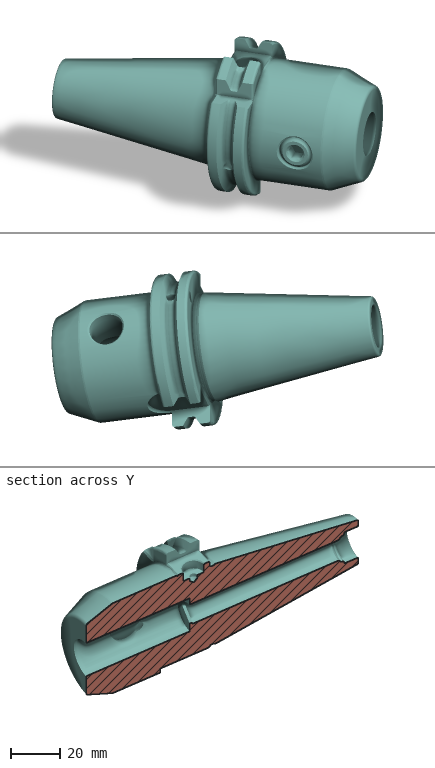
import cadquery as cq
import math


overall_length = 131.4
gauge_x = 69.0
gauge_radius = 22.3
taper_slope = 7 / 48
shank_end_fillet = 0.9
neck_radius = 21.8
neck_start_x = 70.2
neck_fillet = 0.7

flange_start_x = 71.6
flange_end_x = 87.5
flange_diameter = 63.5
flange_radius = flange_diameter / 2
flange_fillet = 1.0
groove_x = 79.5
groove_floor_radius = 28.1
groove_floor_half_width = 1.5
groove_wall_angle = 30.0
groove_floor_fillet = 0.9

keyway_width = 16.2
top_keyway_height = 25.0
bottom_keyway_height = 22.9
notch_distance = 18.5
notch_edge_chamfer = 0.7

pocket_radius = 4.9
pocket_chamfer = 0.4
pocket_depth = 4.6
pilot_radius = 1.7
pilot_depth = 3.3

coolant_hole_radius = 2.1
coolant_cross_radius = 2.0
coolant_pitch_radius = 27.0
coolant_angle = 20.0
coolant_tilt = 30.0

head_radius = 25.1
head_fillet = 0.5
nose_start_x = 118.5
nose_start_fillet = 1.8
nose_end_radius = 19.6
nose_fillet = 1.6

counterbore_radius = 8.5
counterbore_depth = 6.8
counterbore_round = 0.9
thread_radius = 7.0
thread_chamfer = 0.8
thread_end_x = 8.3
channel_radius = 5.5
tool_bore_radius = 9.1
tool_bore_start_x = 81.5
flat_distance = 3.3
flat_length = 1.3
flat_angles = (0.0, 225.0)

screw_x = 107.2
screw_radius = 7.0
screw_face_distance = 24.5
screw_length = 15.8
screw_chamfer = 1.6
screw_hole_chamfer = 0.7
hex_across_flats = 5.9
hex_depth = 6.0
hex_countersink_radius = 4.0

selection_margin = 0.7


def revolve_about_x(profile):
    return profile.close().revolve(360, (0, 0, 0), (1, 0, 0))


def across_x(x):
    """A plane across the axis, with local X along +Y and local Y along +Z."""
    return cq.Workplane(cq.Plane((x, 0, 0), (0, 1, 0), (1, 0, 0)))


def make_shank():
    end_radius = gauge_radius - gauge_x * taper_slope
    profile = (
        cq.Workplane("XZ")
        .lineTo(0, end_radius)
        .lineTo(gauge_x, gauge_radius)
        .lineTo(neck_start_x, neck_radius)
        .lineTo(flange_start_x - neck_fillet, neck_radius)
        .radiusArc((flange_start_x, neck_radius + neck_fillet), -neck_fillet)
        .lineTo(flange_start_x, 0)
    )
    return revolve_about_x(profile).faces("<X").edges().fillet(shank_end_fillet)


def make_flange():
    flange = across_x(flange_start_x).circle(flange_radius).extrude(flange_end_x - flange_start_x)
    flange = flange.edges().fillet(flange_fillet)
    groove_depth = flange_radius - groove_floor_radius
    top_half_width = groove_floor_half_width + groove_depth * math.tan(math.radians(groove_wall_angle))
    groove = revolve_about_x(
        cq.Workplane("XZ")
        .moveTo(groove_x - groove_floor_half_width, groove_floor_radius)
        .lineTo(groove_x + groove_floor_half_width, groove_floor_radius)
        .lineTo(groove_x + top_half_width, flange_radius)
        .lineTo(groove_x - top_half_width, flange_radius)
    )
    floor_edges = cq.selectors.RadiusNthSelector(0)
    return flange.cut(groove.edges(floor_edges).fillet(groove_floor_fillet))


def flange_notch(y_min, y_max, height, rear_chamfer=True):
    """Cutter from a floor at the given Z upwards, chamfering the floor's ends at the flange faces."""
    chamfer_z = height - notch_edge_chamfer
    profile = (
        cq.Workplane("XZ", origin=(0, y_max, 0))
        .moveTo(flange_start_x, flange_radius)
        .lineTo(flange_start_x, chamfer_z)
        .lineTo(flange_start_x + notch_edge_chamfer, height)
    )
    if rear_chamfer:
        profile = profile.lineTo(flange_end_x - notch_edge_chamfer, height).lineTo(flange_end_x, chamfer_z)
    else:
        profile = profile.lineTo(flange_end_x, height)
    return profile.lineTo(flange_end_x, flange_radius).close().extrude(y_max - y_min)


def top_keyway():
    return flange_notch(-keyway_width / 2, keyway_width / 2, top_keyway_height)


def bottom_keyway():
    """Keyway that ends in a half-round wall inside the head."""
    straight = flange_notch(-keyway_width / 2, keyway_width / 2, bottom_keyway_height, rear_chamfer=False)
    round_end = (
        cq.Workplane("XY", origin=(flange_end_x, 0, bottom_keyway_height))
        .circle(keyway_width / 2)
        .extrude(flange_radius - bottom_keyway_height)
    )
    return straight.union(round_end).rotate((0, 0, 0), (1, 0, 0), 180)


def corner_notch():
    """Square notch towards -Y and +Z, with the ends of both its faces chamfered."""
    floor_cut = flange_notch(-flange_radius, -notch_distance, notch_distance)
    wall_cut = flange_notch(notch_distance, flange_radius, notch_distance).rotate((0, 0, 0), (1, 0, 0), 90)
    return floor_cut.union(wall_cut)


def make_head():
    blank = revolve_about_x(
        cq.Workplane("XZ")
        .moveTo(flange_end_x, 0)
        .lineTo(flange_end_x, head_radius + head_fillet)
        .radiusArc((flange_end_x + head_fillet, head_radius), -head_fillet)
        .lineTo(nose_start_x, head_radius)
        .lineTo(overall_length, nose_end_radius)
        .lineTo(overall_length, 0)
    )
    reach = head_radius + selection_margin
    nose_start = cq.selectors.BoxSelector(
        (nose_start_x - selection_margin, -reach, -reach),
        (nose_start_x + selection_margin, reach, reach),
    )
    blank = blank.edges(nose_start).fillet(nose_start_fillet)
    return blank.faces(">X").edges().fillet(nose_fillet)


def keyway_pocket():
    floor_z = top_keyway_height - pocket_depth
    pocket = cq.Workplane("XY", origin=(groove_x, 0, floor_z)).circle(pocket_radius).extrude(pocket_depth)
    mouth = cq.Workplane("XZ").polyline([
        (0, top_keyway_height - pocket_radius - pocket_chamfer),
        (pocket_radius + pocket_chamfer, top_keyway_height),
        (0, top_keyway_height),
    ]).close().revolve(360, (0, 0, 0), (0, 1, 0)).translate((groove_x, 0, 0))
    pilot = cq.Workplane("XZ").polyline([
        (0, floor_z),
        (pilot_radius, floor_z),
        (pilot_radius, floor_z - pilot_depth + pilot_radius),
        (0, floor_z - pilot_depth),
    ]).close().revolve(360, (0, 0, 0), (0, 1, 0)).translate((groove_x, 0, 0))
    return pocket.union(mouth).union(pilot)


def coolant_channel(angle):
    """Tilted hole from the flange face to the tool bore, and a cross hole to it from the groove."""
    tilt = math.radians(coolant_tilt)
    start = cq.Vector(flange_start_x, coolant_pitch_radius, 0)
    direction = cq.Vector(math.cos(tilt), -math.sin(tilt), 0)
    length = (coolant_pitch_radius - tool_bore_radius / 2) / math.sin(tilt)
    lead = 2 * coolant_hole_radius
    tilted = cq.Solid.makeCylinder(coolant_hole_radius, length + lead, start - direction * lead, direction)
    meeting_radius = coolant_pitch_radius - (groove_x - flange_start_x) * math.tan(tilt)
    cross = cq.Solid.makeCylinder(
        coolant_cross_radius, flange_radius - meeting_radius,
        cq.Vector(groove_x, meeting_radius, 0), cq.Vector(0, 1, 0),
    )
    channel = cq.Workplane(tilted).union(cq.Workplane(cross))
    return channel.rotate((0, 0, 0), (1, 0, 0), angle)


def axial_bores():
    shank_bore = revolve_about_x(
        cq.Workplane("XZ")
        .lineTo(0, counterbore_radius + counterbore_round)
        .radiusArc((counterbore_round, counterbore_radius), -counterbore_round)
        .lineTo(counterbore_depth, counterbore_radius)
        .lineTo(counterbore_depth, thread_radius + thread_chamfer)
        .lineTo(counterbore_depth + thread_chamfer, thread_radius)
        .lineTo(thread_end_x, thread_radius)
        .lineTo(thread_end_x + thread_radius - channel_radius, channel_radius)
        .lineTo(tool_bore_start_x, channel_radius)
        .lineTo(tool_bore_start_x, 0)
    )
    for angle in flat_angles:
        ledge = (
            across_x(tool_bore_start_x - flat_length)
            .center(flat_distance + channel_radius / 2, 0)
            .rect(channel_radius, 2 * channel_radius)
            .extrude(flat_length)
        )
        shank_bore = shank_bore.cut(ledge.rotate((0, 0, 0), (1, 0, 0), angle))
    tool_bore = (
        across_x(tool_bore_start_x).circle(tool_bore_radius).extrude(overall_length - tool_bore_start_x)
    )
    return shank_bore.union(tool_bore)


def cut_screw_hole(head):
    """Cross hole through both walls of the head, chamfered at both mouths."""
    hole = (
        cq.Workplane("XZ", origin=(screw_x, head_radius, 0)).circle(screw_radius).extrude(2 * head_radius)
    )
    drilled = head.cut(hole)
    half = screw_radius + selection_margin
    for near, far in ((-2 * head_radius, 0), (0, 2 * head_radius)):
        mouth = cq.selectors.BoxSelector((screw_x - half, near, -half), (screw_x + half, far, half))
        outer_edge = cq.selectors.DirectionMinMaxSelector(cq.Vector(0, 1, 0), directionMax=far > 0)
        drilled = drilled.edges(mouth).edges(outer_edge).chamfer(screw_hole_chamfer)
    return drilled


def make_holder():
    holder = make_shank().union(make_flange()).union(cut_screw_hole(make_head()))
    for cutter in (top_keyway(), bottom_keyway(), corner_notch(), keyway_pocket(), axial_bores()):
        holder = holder.cut(cutter)
    for angle in (coolant_angle, coolant_angle + 180):
        holder = holder.cut(coolant_channel(angle))
    return holder


def make_clamping_screw():
    screw = (
        cq.Workplane("XZ", origin=(screw_x, screw_length - screw_face_distance, 0))
        .circle(screw_radius)
        .extrude(screw_length)
        .faces("<Y").edges().chamfer(screw_chamfer)
    )
    socket = (
        cq.Workplane("XZ", origin=(screw_x, hex_depth - screw_face_distance, 0))
        .polygon(6, hex_across_flats / math.cos(math.pi / 6))
        .extrude(hex_depth)
    )
    countersink = cq.Solid.makeCone(
        hex_countersink_radius, 0, hex_countersink_radius,
        cq.Vector(screw_x, -screw_face_distance, 0), cq.Vector(0, 1, 0),
    )
    return screw.cut(socket).cut(cq.Workplane(countersink))


holder = make_holder()
clamping_screw = make_clamping_screw()
result = cq.Compound.makeCompound([holder.val(), clamping_screw.val()])